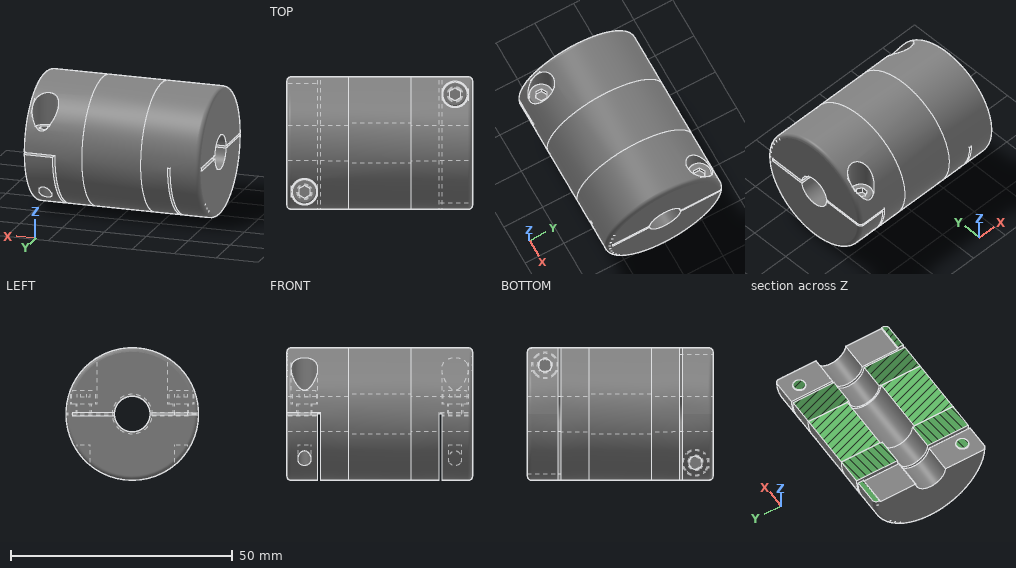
import cadquery as cq

OUTER_DIAMETER = 30.0
TOTAL_LENGTH = 42.0
SECTION_LENGTH = TOTAL_LENGTH / 3
MIDDLE_X = TOTAL_LENGTH / 2
END_FILLET = 1.0
HUB_BORE = 8.0
SLEEVE_BORE = 9.0

CLAMP_LENGTH = 7.0
CROSS_SLIT_WIDTH = 0.6
CROSS_SLIT_TOP_Z = 0.0
OPEN_SLIT_WIDTH = 0.5
HINGE_SLIT_WIDTH = 0.8
HINGE_SLIT_END = 13.5

SCREW_X = 4.0
SCREW_Y = -11.0
COUNTERBORE_DIAMETER = 6.0
CLEARANCE_DIAMETER = 3.5
THREAD_DIAMETER = 3.0
HEAD_DIAMETER = 5.5
HEAD_HEIGHT = 3.0
HEAD_FILLET = 0.4
SEAT_Z = 2.3
SOCKET_WIDTH = 2.5
SOCKET_DEPTH = 1.5
SCREW_TIP_Z = -7.0
HEXAGON_SIDES = 6
HEXAGON_CORNER_RATIO = 2 / 3**0.5

QUARTER_TURN = 90
HALF_TURN = 180

OUTER_RADIUS = OUTER_DIAMETER / 2
SLIT_END_X = CLAMP_LENGTH + CROSS_SLIT_WIDTH


def ring(start_x, length, bore):
    """Tube of the full outer diameter along +X, its seam at the bottom."""
    start_plane = cq.Plane(origin=(start_x, 0, 0), xDir=(0, 0, -1), normal=(1, 0, 0))
    return (
        cq.Workplane(start_plane)
        .circle(OUTER_RADIUS)
        .circle(bore / 2)
        .extrude(length)
    )


def block(x_range, y_range, z_range):
    """Box between the given limits."""
    limits = (x_range, y_range, z_range)
    sizes = [high - low for low, high in limits]
    corner = tuple(low for low, high in limits)
    return cq.Workplane("XY", origin=corner).box(*sizes, centered=False)


def screw_cylinder(diameter, bottom_z, top_z):
    """Cylinder on the screw axis."""
    return (
        cq.Workplane("XY", origin=(SCREW_X, SCREW_Y, bottom_z))
        .circle(diameter / 2)
        .extrude(top_z - bottom_z)
    )


def clamp_slits():
    """Slits that free the lower half of the hub end, leaving a hinge on the +Y side."""
    open_half = OPEN_SLIT_WIDTH / 2
    hinge_half = HINGE_SLIT_WIDTH / 2
    open_slit = block((0, SLIT_END_X), (-OUTER_RADIUS, 0), (-open_half, open_half))
    hinge_slit = block((0, SLIT_END_X), (0, HINGE_SLIT_END), (-hinge_half, hinge_half))
    cross_slit = block(
        (CLAMP_LENGTH, SLIT_END_X),
        (-OUTER_RADIUS, OUTER_RADIUS),
        (-OUTER_RADIUS, CROSS_SLIT_TOP_Z),
    )
    return open_slit.union(hinge_slit).union(cross_slit)


def screw_holes():
    """Counterbore, clearance hole down to the slit and threaded hole out of the far side."""
    counterbore = screw_cylinder(COUNTERBORE_DIAMETER, SEAT_Z, OUTER_RADIUS)
    clearance = screw_cylinder(CLEARANCE_DIAMETER, 0, SEAT_Z)
    thread = screw_cylinder(THREAD_DIAMETER, -OUTER_RADIUS, 0)
    return counterbore.union(clearance).union(thread)


def clamp_screw():
    """Socket head screw seated in the counterbore."""
    head_top = SEAT_Z + HEAD_HEIGHT
    head = screw_cylinder(HEAD_DIAMETER, SEAT_Z, head_top).faces(">Z").edges().fillet(HEAD_FILLET)
    socket = (
        cq.Workplane("XY", origin=(SCREW_X, SCREW_Y, head_top))
        .transformed(rotate=(0, 0, QUARTER_TURN))
        .polygon(HEXAGON_SIDES, SOCKET_WIDTH * HEXAGON_CORNER_RATIO)
        .extrude(-SOCKET_DEPTH)
    )
    shank = screw_cylinder(THREAD_DIAMETER, SCREW_TIP_Z, SEAT_Z)
    return head.cut(socket).union(shank)


def clamp_hub():
    """Slit clamp hub at the -X end, made in one piece with its screw."""
    body = ring(0, SECTION_LENGTH, HUB_BORE)
    body = body.faces("<X").edges(cq.selectors.RadiusNthSelector(1)).fillet(END_FILLET)
    return body.cut(clamp_slits()).cut(screw_holes()).union(clamp_screw())


axis_bottom = (MIDDLE_X, 0, 0)
axis_top = (MIDDLE_X, 0, 1)
hubs = [clamp_hub().rotate(axis_bottom, axis_top, angle) for angle in (0, HALF_TURN)]

sleeve = ring(SECTION_LENGTH, SECTION_LENGTH, SLEEVE_BORE)

result = cq.Compound.makeCompound([sleeve.val(), *[hub.val() for hub in hubs]])